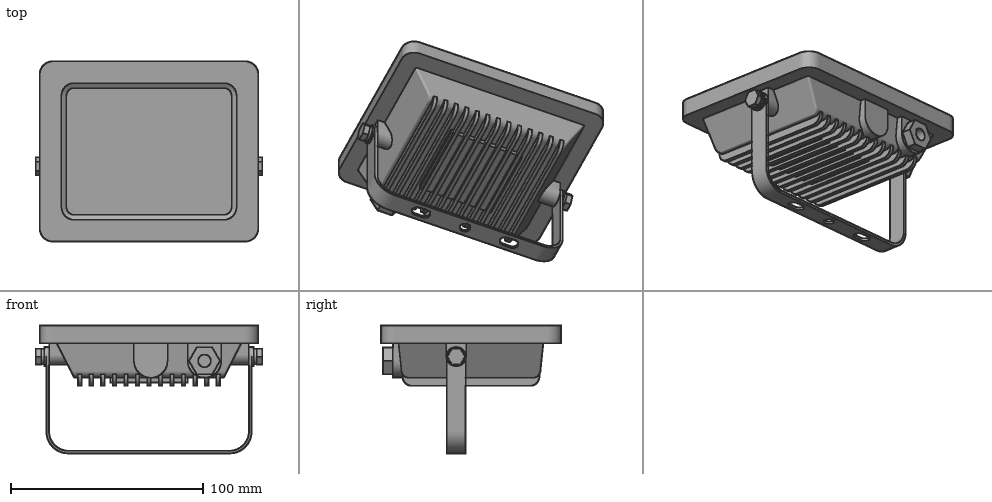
import cadquery as cq
import math


PLATE_LENGTH = 114.0
PLATE_WIDTH = 94.0
PLATE_DEPTH = 9.4
PLATE_CORNER_RADIUS = 7.0
FRAME_BORDER = 11.4
BEVEL_WIDTH = 2.6
BEVEL_DEPTH = 1.5
WINDOW_DEPTH = 3.1
WINDOW_CORNER_RADIUS = 6.6

HOUSING_DEPTH = 27.3
HOUSING_TOP_LENGTH = 96.1
HOUSING_BOTTOM_LENGTH = 77.9
HOUSING_TOP_WIDTH = 75.4
HOUSING_BOTTOM_WIDTH = 71.7
HOUSING_LONG_EDGE_RADIUS = 3.8
HOUSING_END_EDGE_RADIUS = 1.0

FIN_COUNT = 13
FIN_PITCH = 6.0
FIN_THICKNESS = 2.0
FIN_LENGTH = 71.4
FIN_DEPTH = 31.6
FIN_CORNER_RADIUS = 5.0
PAD_SIDE = 40.6
PAD_DEPTH = 29.8

WALL_BOSS_RADIUS = 8.75
PLAIN_BOSS_X = 0.9
GLAND_BOSS_X = 28.9
WALL_BOSS_FACE_Y = -40.7
GLAND_NUT_FLATS = 14.0
GLAND_NUT_LENGTH = 5.2
GLAND_BORE = 6.6

PIVOT_Y = -7.75
PIVOT_DEPTH = 16.3
PIVOT_BOSS_RADIUS = 5.25
PIVOT_BOSS_DEPTH = 20.6
WASHER_DIAMETER = 10.0
WASHER_THICKNESS = 1.0
COLLAR_DIAMETER = 8.2
COLLAR_LENGTH = 1.5
BOLT_HEAD_FLATS = 8.3
OVERALL_LENGTH = 118.2

BRACKET_OUTER_LENGTH = 107.0
BRACKET_THICKNESS = 1.5
BRACKET_WIDTH = 10.0
BRACKET_BEND_RADIUS = 11.5
OVERALL_DEPTH = 66.8
MOUNT_HOLE_DIAMETER = 5.5
MOUNT_SLOT_LENGTH = 10.0
MOUNT_SLOT_OFFSET = 25.0

WALL_BOSS_Z = WALL_BOSS_RADIUS - HOUSING_DEPTH
BRACKET_OUTER_X = BRACKET_OUTER_LENGTH / 2
BRACKET_INNER_X = BRACKET_OUTER_X - BRACKET_THICKNESS


def box_between(x_range, y_range, z_range):
    """Axis-aligned block given by its limits on each axis."""
    size = [high - low for low, high in (x_range, y_range, z_range)]
    corner = cq.Vector(x_range[0], y_range[0], z_range[0])
    return cq.Workplane(cq.Solid.makeBox(*size, corner))


def pivot_section(x):
    """Work plane facing +X, centered on the pivot axis; local x is along +Y, local y along +Z."""
    return cq.Workplane("YZ", origin=(x, PIVOT_Y, -PIVOT_DEPTH))


def hexagon_diameter(across_flats):
    return across_flats / math.cos(math.pi / 6)


def rounded_block(length, width, corner_radius, depth):
    """Block below Z = 0 with rounded vertical corners."""
    block = cq.Workplane("XY").rect(length, width).extrude(-depth)
    return block.edges("|Z").fillet(corner_radius)


def front_plate():
    """Plate with a window recess: a bevelled rim followed by a straight wall."""
    rim_length = PLATE_LENGTH - 2 * FRAME_BORDER
    rim_width = PLATE_WIDTH - 2 * FRAME_BORDER
    rim = cq.Sketch().rect(rim_length, rim_width).vertices().fillet(WINDOW_CORNER_RADIUS)
    bevel_angle = math.degrees(math.atan2(BEVEL_WIDTH, BEVEL_DEPTH))
    bevel = cq.Workplane("XY").placeSketch(rim).extrude(-BEVEL_DEPTH, taper=bevel_angle)
    well = rounded_block(
        rim_length - 2 * BEVEL_WIDTH,
        rim_width - 2 * BEVEL_WIDTH,
        WINDOW_CORNER_RADIUS - BEVEL_WIDTH,
        WINDOW_DEPTH,
    )
    plate = rounded_block(PLATE_LENGTH, PLATE_WIDTH, PLATE_CORNER_RADIUS, PLATE_DEPTH)
    return plate.cut(bevel).cut(well)


def trapezoid(plane, top_width, bottom_width, thickness):
    """Symmetric trapezoid from the plate's underside to the housing floor, extruded both ways."""
    outline = [
        (-top_width / 2, -PLATE_DEPTH),
        (top_width / 2, -PLATE_DEPTH),
        (bottom_width / 2, -HOUSING_DEPTH),
        (-bottom_width / 2, -HOUSING_DEPTH),
    ]
    return cq.Workplane(plane).polyline(outline).close().extrude(thickness / 2, both=True)


def housing():
    body = trapezoid("YZ", HOUSING_TOP_WIDTH, HOUSING_BOTTOM_WIDTH, HOUSING_TOP_LENGTH)
    body = body.edges("|X and <Z").fillet(HOUSING_LONG_EDGE_RADIUS)
    end_slopes = trapezoid("XZ", HOUSING_TOP_LENGTH, HOUSING_BOTTOM_LENGTH, HOUSING_TOP_WIDTH)
    body = body.intersect(end_slopes)
    end_edges = body.faces("<X or >X").edges("not >Z")
    return end_edges.fillet(HOUSING_END_EDGE_RADIUS)


def cooling_fin(x):
    """One fin, rooted inside the housing floor."""
    root_depth = HOUSING_DEPTH - HOUSING_LONG_EDGE_RADIUS / 2
    fin = box_between(
        (x - FIN_THICKNESS / 2, x + FIN_THICKNESS / 2),
        (-FIN_LENGTH / 2, FIN_LENGTH / 2),
        (-FIN_DEPTH, -root_depth),
    )
    return fin.edges("|X and <Z").fillet(FIN_CORNER_RADIUS)


def floor_pad():
    half_side = PAD_SIDE / 2
    return box_between((-half_side, half_side), (-half_side, half_side), (-PAD_DEPTH, -PLATE_DEPTH))


def round_bottom_boss(plane, center, radius, length):
    """Boss hanging from the plate: a half round at the bottom with straight sides above it."""
    across, height = center
    profile = (
        plane.moveTo(across - radius, -PLATE_DEPTH)
        .lineTo(across - radius, height)
        .threePointArc((across, height - radius), (across + radius, height))
        .lineTo(across + radius, -PLATE_DEPTH)
        .close()
    )
    return profile.extrude(length)


def wall_boss(x):
    """Boss running from the middle of the housing out through its -Y wall."""
    center = (x, WALL_BOSS_Z)
    return round_bottom_boss(cq.Workplane("XZ"), center, WALL_BOSS_RADIUS, -WALL_BOSS_FACE_Y)


def gland_nut():
    plane = cq.Workplane("XZ", origin=(GLAND_BOSS_X, WALL_BOSS_FACE_Y, WALL_BOSS_Z))
    nut = plane.polygon(6, hexagon_diameter(GLAND_NUT_FLATS)).extrude(GLAND_NUT_LENGTH)
    return nut.cut(plane.circle(GLAND_BORE / 2).extrude(GLAND_NUT_LENGTH))


def pivot_boss():
    """Boss on the +X end, running from inside the housing to the bracket."""
    center = (PIVOT_Y, PIVOT_BOSS_RADIUS - PIVOT_BOSS_DEPTH)
    return round_bottom_boss(cq.Workplane("YZ"), center, PIVOT_BOSS_RADIUS, BRACKET_INNER_X)


def pivot_bolt():
    """Washer, collar and hexagon head on the +X end."""
    washer_end = BRACKET_OUTER_X + WASHER_THICKNESS
    collar_end = washer_end + COLLAR_LENGTH
    head_length = OVERALL_LENGTH / 2 - collar_end
    head_diameter = hexagon_diameter(BOLT_HEAD_FLATS)
    washer = pivot_section(BRACKET_OUTER_X).circle(WASHER_DIAMETER / 2).extrude(WASHER_THICKNESS)
    collar = pivot_section(washer_end).circle(COLLAR_DIAMETER / 2).extrude(COLLAR_LENGTH)
    head = pivot_section(collar_end).polygon(6, head_diameter).extrude(head_length)
    return washer.union(collar).union(head)


def on_opposite_end(end_part):
    """Copy of a +X end part on the -X end, by half a turn about a vertical line at the pivot's Y."""
    return end_part.rotate((0, PIVOT_Y, 0), (0, PIVOT_Y, 1), 180)


def bent_strap_block(half_length, floor_z, bend_radius):
    """Block over the bracket's width, up to the arm tips, with its two lower corners rounded."""
    block = box_between(
        (-half_length, half_length),
        (PIVOT_Y - BRACKET_WIDTH / 2, PIVOT_Y + BRACKET_WIDTH / 2),
        (floor_z, BRACKET_WIDTH / 2 - PIVOT_DEPTH),
    )
    return block.edges("|Y and <Z").fillet(bend_radius)


def bracket():
    """Flat strip bent into a U, with round arm tips and mounting holes in its floor."""
    strap = bent_strap_block(BRACKET_OUTER_X, -OVERALL_DEPTH, BRACKET_BEND_RADIUS)
    inside = bent_strap_block(
        BRACKET_INNER_X,
        BRACKET_THICKNESS - OVERALL_DEPTH,
        BRACKET_BEND_RADIUS - BRACKET_THICKNESS,
    )
    arm_profile = (
        pivot_section(-BRACKET_OUTER_X)
        .moveTo(-BRACKET_WIDTH / 2, -OVERALL_DEPTH)
        .lineTo(-BRACKET_WIDTH / 2, 0)
        .threePointArc((0, BRACKET_WIDTH / 2), (BRACKET_WIDTH / 2, 0))
        .lineTo(BRACKET_WIDTH / 2, -OVERALL_DEPTH)
        .close()
    )
    strap = strap.intersect(arm_profile.extrude(BRACKET_OUTER_LENGTH)).cut(inside)

    floor = cq.Workplane("XY", origin=(0, PIVOT_Y, -OVERALL_DEPTH))
    center_hole = floor.circle(MOUNT_HOLE_DIAMETER / 2).extrude(BRACKET_THICKNESS)
    slots = floor.pushPoints([(-MOUNT_SLOT_OFFSET, 0), (MOUNT_SLOT_OFFSET, 0)])
    slots = slots.slot2D(MOUNT_SLOT_LENGTH, MOUNT_HOLE_DIAMETER).extrude(BRACKET_THICKNESS)
    return strap.cut(center_hole).cut(slots)


result = front_plate().union(housing()).union(floor_pad())
for fin_index in range(FIN_COUNT):
    fin_x = (fin_index - (FIN_COUNT - 1) / 2) * FIN_PITCH
    result = result.union(cooling_fin(fin_x))
for boss_x in (PLAIN_BOSS_X, GLAND_BOSS_X):
    result = result.union(wall_boss(boss_x))
result = result.union(gland_nut()).union(bracket())
for end_part in (pivot_boss(), pivot_bolt()):
    result = result.union(end_part).union(on_opposite_end(end_part))